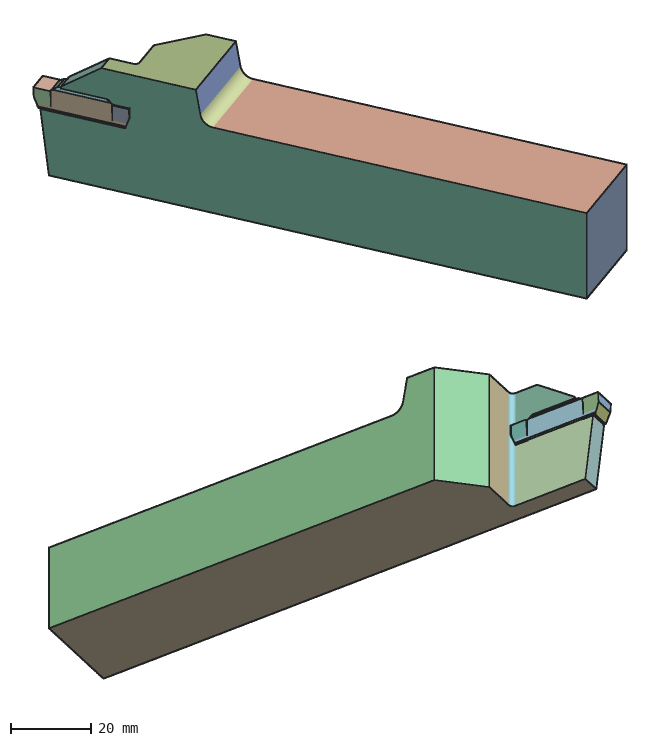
import cadquery as cq
import math

overall_length = 150.0
shank_size = 25.0
head_height = 35.0
head_top_start = 18.3
head_top_end = 44.0
head_back_angle = 10.0
head_back_radius = 3.5
head_wall_x = 26.0
head_chamfer = 9.9

blade_thickness = 5.1
blade_fillet = 1.2
blade_foot_x = 4.0
blade_relief_angle = 7.0
nose_x = 7.4
nose_z = 26.8

insert_length = 26.0
insert_floor_z = 18.9
insert_crest_z = 26.2
tip_length = 4.6
crest_start = 6.3
edge_face_bottom_z = 22.2
insert_foot_x = 1.2
tip_overhang = 0.5
tip_floor_inset = 0.2
crest_bevel_width = 0.5
crest_bevel_height = 0.9
floor_bevel = 0.6

cut_margin = 1.5


def extrude_y(points, y_start, y_end):
    """Extrude a closed XZ outline between two Y positions."""
    outline = cq.Workplane("XZ", origin=(0, y_start, 0)).polyline(points).close()
    return outline.extrude(y_start - y_end)


def mirrored_outline(left_points):
    """Complete the left half of an insert outline with its mirror image."""
    right_points = [(insert_length - x, z) for x, z in reversed(left_points)]
    return left_points + right_points


def extrude_x(points):
    """Extrude a closed YZ section along the whole insert."""
    return cq.Workplane("YZ").polyline(points).close().extrude(insert_length)


tip_profile = [
    (insert_foot_x, insert_floor_z),
    (0, edge_face_bottom_z),
    (0, shank_size),
    (tip_length, shank_size),
]
insert_profile = mirrored_outline(tip_profile + [(crest_start, insert_crest_z)])


def make_insert():
    middle_section = [
        (floor_bevel, insert_floor_z),
        (blade_thickness - floor_bevel, insert_floor_z),
        (blade_thickness, insert_floor_z + floor_bevel),
        (blade_thickness, insert_crest_z - crest_bevel_height),
        (blade_thickness - crest_bevel_width, insert_crest_z),
        (crest_bevel_width, insert_crest_z),
        (0, insert_crest_z - crest_bevel_height),
        (0, insert_floor_z + floor_bevel),
    ]
    middle = extrude_y(insert_profile, 0, blade_thickness).intersect(extrude_x(middle_section))

    tip_section = [
        (tip_floor_inset, insert_floor_z),
        (blade_thickness - tip_floor_inset, insert_floor_z),
        (blade_thickness + tip_overhang, shank_size),
        (-tip_overhang, shank_size),
    ]
    tip_outline = tip_profile + [(tip_length, insert_floor_z)]
    left_tip = extrude_y(tip_outline, -tip_overhang, blade_thickness + tip_overhang)
    left_tip = left_tip.intersect(extrude_x(tip_section))
    right_tip = left_tip.mirror("YZ", (insert_length / 2, 0, 0))
    return middle.union(left_tip).union(right_tip)


def make_holder():
    head_back_x = head_top_end + (head_height - shank_size) * math.tan(math.radians(head_back_angle))
    blade_front_x = blade_foot_x - insert_floor_z * math.tan(math.radians(blade_relief_angle))
    side_outline = [
        (blade_foot_x, 0),
        (overall_length, 0),
        (overall_length, shank_size),
        (head_back_x, shank_size),
        (head_top_end, head_height),
        (head_top_start, head_height),
        (nose_x, nose_z),
        (nose_x, insert_floor_z),
        (blade_front_x, insert_floor_z),
    ]
    body = extrude_y(side_outline, 0, shank_size)
    head_back_corner = cq.selectors.BoxSelector(
        (head_back_x - blade_fillet, -cut_margin, shank_size - blade_fillet),
        (head_back_x + blade_fillet, shank_size + cut_margin, shank_size + blade_fillet),
    )
    body = body.edges("|Y").edges(head_back_corner).fillet(head_back_radius)

    plan = (
        cq.Workplane("XY")
        .moveTo(0, 0)
        .lineTo(overall_length, 0)
        .lineTo(overall_length, shank_size)
        .lineTo(head_wall_x + head_chamfer, shank_size)
        .lineTo(head_wall_x, shank_size - head_chamfer)
        .lineTo(head_wall_x, blade_thickness + blade_fillet)
        .radiusArc((head_wall_x - blade_fillet, blade_thickness), blade_fillet)
        .lineTo(0, blade_thickness)
        .close()
        .extrude(head_height)
    )
    body = body.intersect(plan)

    seat = extrude_y(insert_profile, -cut_margin, blade_thickness + tip_overhang)
    return body.cut(seat)


holder = make_holder()
insert = make_insert()
result = cq.Compound.makeCompound([holder.val(), insert.val()])